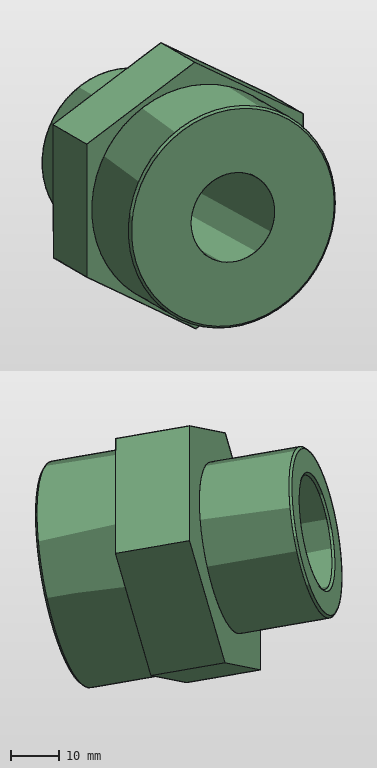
import cadquery as cq

total_length = 54.0
spigot_length = 20.0
hex_width = 16.1

spigot_diameter = 36.2
body_diameter = 47.8
hex_across_corners = 57.75
hex_turn = 0.23

bore_diameter = 19.3
socket_diameter = 24.15
socket_depth = spigot_length

edge_chamfer = 0.5

spigot_end = -total_length / 2
hex_start = spigot_end + spigot_length
body_start = hex_start + hex_width
body_end = total_length / 2


def cylinder(diameter, start, end):
    """Solid cylinder along X between two stations."""
    return cq.Workplane("YZ", origin=(start, 0, 0)).circle(diameter / 2).extrude(end - start)


def hex_collar():
    """Hexagonal wrench collar with two corners along Z."""
    return (
        cq.Workplane("YZ", origin=(hex_start, 0, 0))
        .polygon(6, hex_across_corners)
        .extrude(hex_width)
        .rotate((0, 0, 0), (1, 0, 0), 90 + hex_turn)
    )


spigot = cylinder(spigot_diameter, spigot_end, hex_start).faces("<X").chamfer(edge_chamfer)
body = cylinder(body_diameter, body_start, body_end).faces(">X").chamfer(edge_chamfer)
outer = spigot.union(hex_collar()).union(body)

bore = cylinder(bore_diameter, spigot_end, body_end)
socket = cylinder(socket_diameter, spigot_end, spigot_end + socket_depth)

result = outer.cut(bore).cut(socket)

mouth_edge = cq.selectors.RadiusNthSelector(0)
result = result.faces("<X").edges(mouth_edge).chamfer(edge_chamfer)